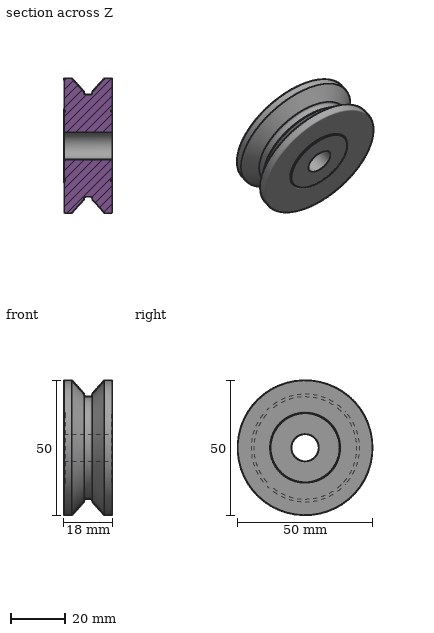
import cadquery as cq

wheel_radius = 25.0
wheel_width = 18.0
rim_width = 3.0
rim_fillet = 0.5

relief_width = 3.0
groove_foot_radius = 20.0
relief_floor_radius = 19.0
relief_fillet = 0.75

bore_radius = 5.0
hub_radius = 12.75
ring_floor_radius = 13.0
ring_fillet = 0.5

face_x = wheel_width / 2
rim_x = face_x - rim_width
relief_x = relief_width / 2


def cylinder(radius, start_x, length):
    """Cylinder on the X axis running toward +X."""
    return cq.Workplane("YZ").workplane(offset=start_x).circle(radius).extrude(length)


def make_wheel():
    return cylinder(wheel_radius, -face_x, wheel_width).edges().fillet(rim_fillet)


def make_groove():
    """Ring that cuts the V groove and its relief."""
    relief = (
        cylinder(groove_foot_radius, -relief_x, relief_width)
        .cut(cylinder(relief_floor_radius, -relief_x, relief_width))
    )
    relief = relief.edges(cq.selectors.RadiusNthSelector(0)).fillet(relief_fillet)
    v_ring = (
        cq.Workplane("XY")
        .moveTo(-relief_x, groove_foot_radius)
        .lineTo(-rim_x, wheel_radius)
        .lineTo(rim_x, wheel_radius)
        .lineTo(relief_x, groove_foot_radius)
        .close()
        .revolve(360, (0, 0, 0), (1, 0, 0))
    )
    return v_ring.union(relief)


def make_face_ring():
    """Ring groove in the -X face: straight hub wall, flat floor and rounded outer edge."""
    floor_x = -face_x + ring_fillet
    return (
        cq.Workplane("XY")
        .moveTo(-face_x, hub_radius)
        .lineTo(-face_x, ring_floor_radius + ring_fillet)
        .radiusArc((floor_x, ring_floor_radius), -ring_fillet)
        .lineTo(floor_x, hub_radius)
        .close()
        .revolve(360, (0, 0, 0), (1, 0, 0))
    )


face_ring = make_face_ring()
result = (
    make_wheel()
    .cut(make_groove())
    .cut(face_ring)
    .cut(face_ring.mirror("YZ"))
    .cut(cylinder(bore_radius, -face_x, wheel_width))
)